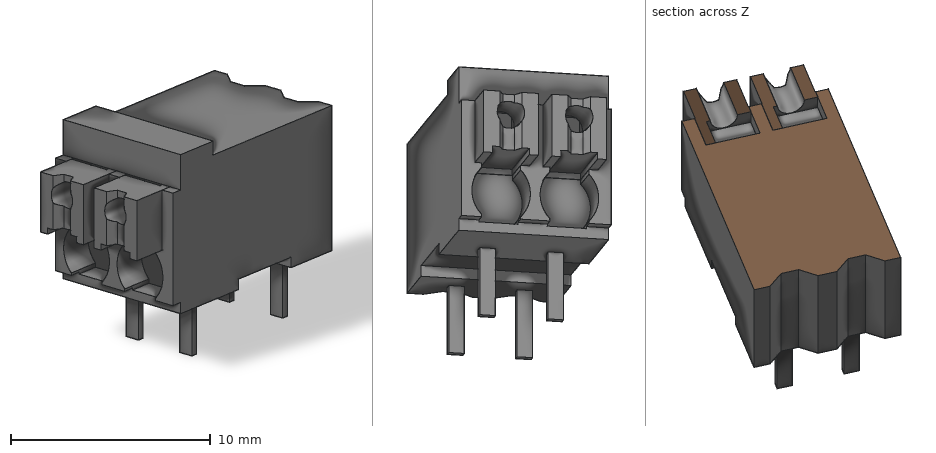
import cadquery as cq


pole_pitch = 3.5
pole_centers = [-pole_pitch / 2, pole_pitch / 2]

width = 7.7
overall_depth = 14.3
button_protrusion = 1.97
housing_depth = overall_depth - button_protrusion
body_height = 7.76
ledge_height = 8.51
ledge_front = 0.6
ledge_back = 3.13
lip_depth = ledge_front
lip_height = 0.6

channel_front = 5.1
channel_back = 9.15
channel_height = 0.56

rear_notch_mouth = 2.52
rear_notch_floor = 0.92
rear_notch_depth = 0.69

button_width = 2.8
button_bottom = 3.4
button_top = 6.62
pocket_depth = 1.93
slot_width = 2.3
slot_height = 1.79
slot_front = 0.41
groove_mouth = 1.15
groove_floor = 0.6
groove_depth = 0.5
bore_diameter = 1.4
bore_height = 5.56
relief_width = 1.89
relief_height = 0.33

entry_offset = -0.06
entry_width = 2
entry_bulge_width = 3
entry_floor = 0.5
entry_arc_bottom = 0.73
entry_arc_top = 3.16
entry_depth = 1.87

pin_width = 0.8
pin_thickness = 0.37
pin_length = 3.49
pin_offset = 0.03
front_pin_y = 3.63
pin_row_spacing = 7.04
pin_rows = [front_pin_y, front_pin_y + pin_row_spacing]


def box(x_min, x_max, y_min, y_max, z_min, z_max):
    """Axis-aligned block between two opposite corners."""
    size = (x_max - x_min, y_max - y_min, z_max - z_min)
    return cq.Workplane("XY").box(*size, centered=False).translate((x_min, y_min, z_min))


def trapezoid_notch(x, y_mouth, y_floor, mouth, floor, z_min, z_max):
    """Vertical prism that narrows from its mouth to its floor."""
    return (
        cq.Workplane("XY", origin=(x, 0, z_min))
        .polyline([(-mouth / 2, y_mouth), (-floor / 2, y_floor), (floor / 2, y_floor), (mouth / 2, y_mouth)])
        .close()
        .extrude(z_max - z_min)
    )


def wire_entry(x):
    """Blind hole with a flat floor and bulging sides, opening upward into the button pocket."""
    half_width = entry_width / 2
    half_bulge = entry_bulge_width / 2
    arc_middle = (entry_arc_bottom + entry_arc_top) / 2
    return (
        cq.Workplane("XZ", origin=(x + entry_offset, 0, 0))
        .moveTo(-half_width, entry_floor)
        .lineTo(half_width, entry_floor)
        .lineTo(half_width, entry_arc_bottom)
        .threePointArc((half_bulge, arc_middle), (half_width, entry_arc_top))
        .lineTo(half_width, button_bottom)
        .lineTo(-half_width, button_bottom)
        .lineTo(-half_width, entry_arc_top)
        .threePointArc((-half_bulge, arc_middle), (-half_width, entry_arc_bottom))
        .close()
        .extrude(-entry_depth)
    )


def make_housing():
    side_profile = [
        (lip_depth, 0),
        (channel_front, 0),
        (channel_front, channel_height),
        (channel_back, channel_height),
        (channel_back, 0),
        (housing_depth, 0),
        (housing_depth, body_height),
        (ledge_back, body_height),
        (ledge_back, ledge_height),
        (ledge_front, ledge_height),
        (ledge_front, button_top),
        (0, button_top),
        (0, lip_height),
        (lip_depth, lip_height),
    ]
    body = cq.Workplane("YZ").polyline(side_profile).close().extrude(width / 2, both=True)
    for x in pole_centers:
        half_button = button_width / 2
        pocket = box(x - half_button, x + half_button, 0, pocket_depth, button_bottom, button_top)
        rear_notch = trapezoid_notch(
            x,
            housing_depth,
            housing_depth - rear_notch_depth,
            rear_notch_mouth,
            rear_notch_floor,
            0,
            body_height,
        )
        body = body.cut(pocket).cut(wire_entry(x)).cut(rear_notch)
    return body


def make_button(x):
    """Push button with a grooved front, a tool bore, a slot in its rear top and a relief underneath."""
    left = x - button_width / 2
    right = x + button_width / 2
    front = -button_protrusion
    block = box(left, right, front, pocket_depth, button_bottom, button_top)
    slot = box(left, left + slot_width, slot_front, pocket_depth, button_top - slot_height, button_top)
    groove = trapezoid_notch(
        x, front, front + groove_depth, groove_mouth, groove_floor, button_bottom, button_top
    )
    bore = (
        cq.Workplane("XZ", origin=(x, front, bore_height))
        .circle(bore_diameter / 2)
        .extrude(-(slot_front - front))
    )
    relief_right = x + entry_offset + entry_width / 2
    relief = box(
        relief_right - relief_width,
        relief_right,
        front,
        pocket_depth,
        button_bottom,
        button_bottom + relief_height,
    )
    return block.cut(slot).cut(groove).cut(bore).cut(relief)


def make_pin(x, y):
    """Straight rectangular solder pin hanging from the housing underside."""
    return (
        cq.Workplane("XY", origin=(x + pin_offset, y, 0))
        .rect(pin_width, pin_thickness)
        .extrude(-pin_length)
    )


housing = make_housing()
buttons = [make_button(x) for x in pole_centers]
pins = [make_pin(x, y) for x in pole_centers for y in pin_rows]

result = cq.Compound.makeCompound(
    [housing.val(), *[button.val() for button in buttons], *[pin.val() for pin in pins]]
)